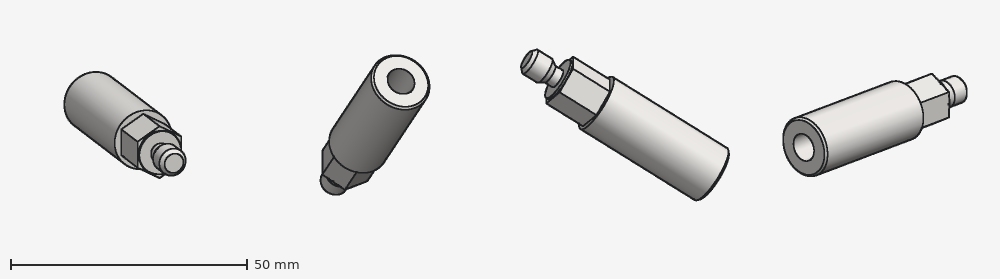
import cadquery as cq
import math

total_length = 48.0
body_end = 30.0
hex_end = 39.5
collar_end = 40.0
neck_end = 42.0
tip_start = 43.4
tip_chamfer = 0.85

body_diameter = 13.0
body_chamfer = 0.5
hex_across_flats = 10.0
collar_diameter = 9.5
neck_diameter = 4.2
tip_diameter = 6.0

mouth_diameter = tip_diameter
mouth_depth = 12.0
pilot_diameter = 5.0
pilot_depth = 15.0
drill_point_angle = 118.0


def make_body():
    """Round handle with its outer edge chamfered at the bored end."""
    body = cq.Workplane("YZ").circle(body_diameter / 2).extrude(body_end)
    return body.faces("<X").chamfer(body_chamfer)


def make_hex():
    """Hexagon with flats facing +Y and -Y and corners on the Z axis."""
    across_corners = hex_across_flats / math.cos(math.pi / 6)
    return (
        cq.Workplane("YZ", origin=(body_end, 0, 0))
        .transformed(rotate=(0, 0, 90))
        .polygon(6, across_corners)
        .extrude(hex_end - body_end)
    )


def make_stud():
    """Collar, neck and chamfered tip, revolved about X."""
    collar_radius = collar_diameter / 2
    neck_radius = neck_diameter / 2
    tip_radius = tip_diameter / 2
    profile = [
        (hex_end, 0),
        (hex_end, collar_radius),
        (collar_end, collar_radius),
        (collar_end, neck_radius),
        (neck_end, neck_radius),
        (tip_start, tip_radius),
        (total_length - tip_chamfer, tip_radius),
        (total_length, tip_radius - tip_chamfer),
        (total_length, 0),
    ]
    return revolve_about_x(profile)


def make_bore():
    """Blind bore with a flat step and a conical bottom."""
    pilot_radius = pilot_diameter / 2
    mouth_radius = mouth_diameter / 2
    point_length = pilot_radius / math.tan(math.radians(drill_point_angle / 2))
    profile = [
        (0, 0),
        (0, mouth_radius),
        (mouth_depth, mouth_radius),
        (mouth_depth, pilot_radius),
        (pilot_depth, pilot_radius),
        (pilot_depth + point_length, 0),
    ]
    return revolve_about_x(profile)


def revolve_about_x(profile):
    """Turn a closed (x, radius) profile into a solid of revolution."""
    return cq.Workplane("XY").polyline(profile).close().revolve(360, (0, 0, 0), (1, 0, 0))


result = make_body().union(make_hex()).union(make_stud()).cut(make_bore())